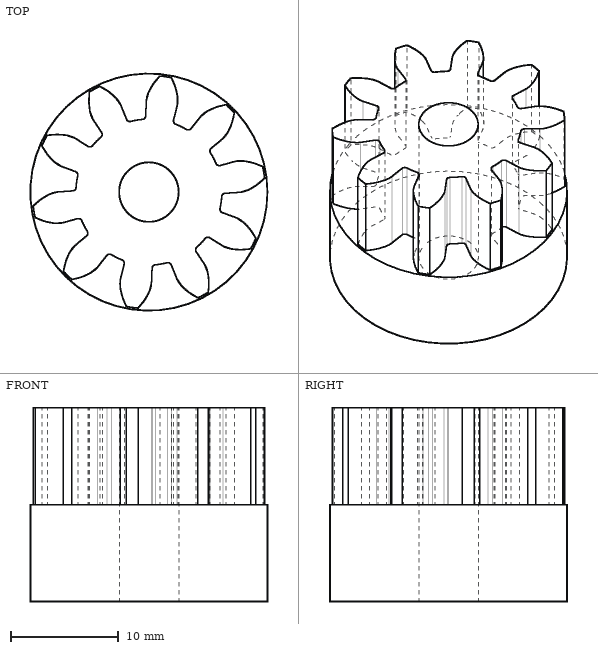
import cadquery as cq
import math

hub_diameter = 22.0
hub_height = 9.0
bore_diameter = 5.5

tooth_count = 10
module = 1.8
pressure_angle = math.radians(20.0)
tip_radius = 10.8
dedendum_ratio = 1.25
gear_height = hub_height
first_tooth_angle = 9.75
root_half_width = 1.28
root_fillet = 0.33
flank_points = 7

pitch_radius = module * tooth_count / 2
base_radius = pitch_radius * math.cos(pressure_angle)
root_radius = pitch_radius - dedendum_ratio * module
pitch_step = 360.0 / tooth_count


def involute(angle):
    """Involute function of a pressure angle, in radians."""
    return math.tan(angle) - angle


base_half_angle = math.pi / (2 * tooth_count) + involute(pressure_angle)


def polar(radius, angle):
    return (radius * math.cos(angle), radius * math.sin(angle))


def flank_point(radius):
    """Point on the upper involute flank of a tooth lying along +X."""
    local_pressure_angle = math.acos(base_radius / radius)
    return polar(radius, base_half_angle - involute(local_pressure_angle))


def mirrored(point):
    return (point[0], -point[1])


def make_tooth():
    """One tooth along +X: straight lower flanks, involute upper flanks."""
    radius_step = (tip_radius - base_radius) / (flank_points - 1)
    radii = [base_radius + i * radius_step for i in range(flank_points - 1)] + [tip_radius]
    upper_flank = [flank_point(radius) for radius in radii]
    lower_flank = [mirrored(point) for point in upper_flank]
    root_corner = (math.sqrt(root_radius**2 - root_half_width**2), root_half_width)
    return (
        cq.Workplane("XY")
        .workplane(offset=hub_height)
        .lineTo(*mirrored(root_corner))
        .lineTo(*lower_flank[0])
        .spline(lower_flank[1:], includeCurrent=True)
        .threePointArc((tip_radius, 0), upper_flank[-1])
        .spline(upper_flank[-2::-1], includeCurrent=True)
        .lineTo(*root_corner)
        .close()
        .extrude(gear_height)
    )


def make_gear():
    """Root cylinder with all teeth, rounded where the flanks meet the root."""
    gear = cq.Workplane("XY").workplane(offset=hub_height).circle(root_radius).extrude(gear_height)
    tooth = make_tooth()
    for i in range(tooth_count):
        angle = first_tooth_angle + i * pitch_step
        gear = gear.union(tooth.rotate((0, 0, 0), (0, 0, 1), angle))

    root_edges = [
        edge
        for edge in gear.edges("|Z").vals()
        if math.hypot(edge.Center().x, edge.Center().y) < (root_radius + base_radius) / 2
    ]
    return gear.newObject(root_edges).fillet(root_fillet)


hub = cq.Workplane("XY").circle(hub_diameter / 2).extrude(hub_height)
bore = cq.Workplane("XY").circle(bore_diameter / 2).extrude(hub_height + gear_height)

result = hub.union(make_gear()).cut(bore)